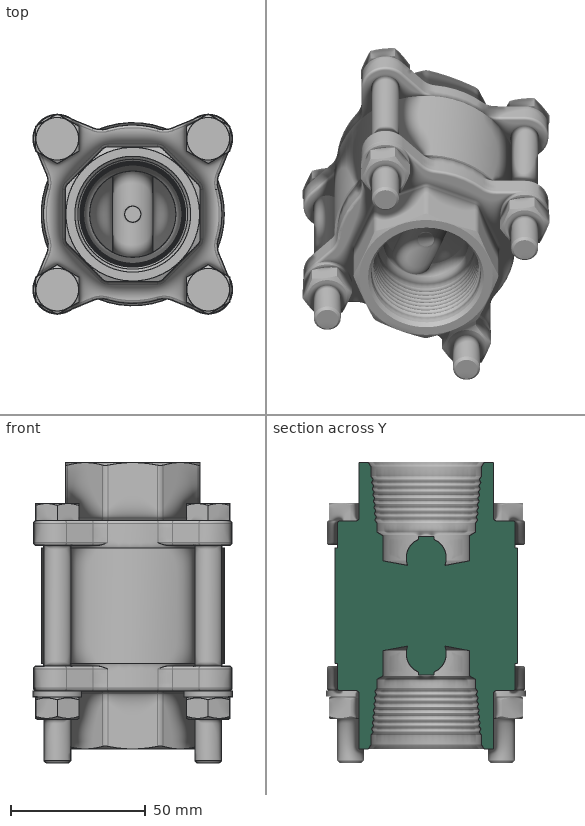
import cadquery as cq
import math

body_diameter = 68.0
body_height = 43.0
boss_diameter = 66.2

flange_face_z = 31.6
flange_thickness = 9.2
flange_edge_radius = 1.0
bolt_offset = 28.0
lug_radius = 8.8
lug_blend_radius = 8.0
lug_flank_angle = 22.5
bolt_hole_diameter = 10.8
bolt_positions = [(sx * bolt_offset, sy * bolt_offset) for sx in (-1, 1) for sy in (-1, 1)]

port_end_z = 53.25
port_flats = 50.0
port_sides = 8
port_corner_radius = 2.8
port_chamfer_angle = 30.0
port_face_diameter = 49.6
port_base_fillet = 1.0
mouth_diameter = 43.0
mouth_depth = 1.7
thread_start_diameter = 40.8
thread_end_diameter = 36.5
thread_pitch = 2.309
thread_turns = 8
thread_height = 0.75
thread_lead_in = 2.4
seat_diameter = 32.0
seat_cone_height = 1.3
relief_height = 3.3

floor_rim_depth = 36.5
floor_dish_depth = 3.0
guide_bar_diameter = 15.0
guide_axis_depth = 35.5
stem_diameter = 6.0
stem_projection = 0.5

bolt_diameter = 10.0
bolt_length = 90.0
bolt_tip_chamfer = 0.9
hex_flats = 16.0
hex_chamfer_angle = 30.0
head_height = 6.4
head_face_diameter = 15.8
washer_diameter = 18.1
washer_thickness = 2.2
washer_split_width = 0.7
washer_split_angle = 30.0
washer_split_y = -27.2
nut_height = 8.4
nut_face_diameter = 14.63


def polygon_corner_diameter(flats, sides):
    return flats / math.cos(math.pi / sides)


def chamfered_envelope(z_low, z_high, face_diameter, outer_diameter, angle, low_end, high_end):
    """Turned blank whose chosen ends are coned down to face_diameter."""
    face_radius = face_diameter / 2
    outer_radius = outer_diameter / 2
    drop = (outer_radius - face_radius) * math.tan(math.radians(angle))
    points = [(0, z_low)]
    if low_end:
        points += [(face_radius, z_low), (outer_radius, z_low + drop)]
    else:
        points += [(outer_radius, z_low)]
    if high_end:
        points += [(outer_radius, z_high - drop), (face_radius, z_high)]
    else:
        points += [(outer_radius, z_high)]
    points += [(0, z_high)]
    return cq.Workplane("XZ").polyline(points).close().revolve(360, (0, 0), (0, 1))


def cylinder(diameter, z_low, height):
    return cq.Workplane("XY", origin=(0, 0, z_low)).circle(diameter / 2).extrude(height)


def rotate_point(point, angle):
    c = math.cos(math.radians(angle))
    s = math.sin(math.radians(angle))
    return (point[0] * c - point[1] * s, point[0] * s + point[1] * c)


def flange_outline():
    """Round flange with four lugs, blended by straight flanks and hollow arcs."""
    boss_radius = boss_diameter / 2
    flank = math.radians(lug_flank_angle)
    normal = (math.sin(flank), -math.cos(flank))
    along = (math.cos(flank), math.sin(flank))
    lug = (-bolt_offset, -bolt_offset)

    across = lug[0] * normal[0] + lug[1] * normal[1] + lug_radius + lug_blend_radius
    reach = boss_radius + lug_blend_radius
    back = -math.sqrt(reach**2 - across**2)
    hollow = (across * normal[0] + back * along[0], across * normal[1] + back * along[1])
    hollow_direction = math.atan2(-hollow[1], -hollow[0])
    flank_direction = math.atan2(-normal[1], -normal[0])
    middle_direction = (hollow_direction + flank_direction) / 2

    flank_start = (lug[0] + lug_radius * normal[0], lug[1] + lug_radius * normal[1])
    flank_end = (hollow[0] - lug_blend_radius * normal[0], hollow[1] - lug_blend_radius * normal[1])
    hollow_middle = (
        hollow[0] + lug_blend_radius * math.cos(middle_direction),
        hollow[1] + lug_blend_radius * math.sin(middle_direction),
    )
    rim_start = (hollow[0] * boss_radius / reach, hollow[1] * boss_radius / reach)
    lug_tip_distance = bolt_offset + lug_radius * math.sqrt(0.5)
    lug_tip = (lug_tip_distance, -lug_tip_distance)

    def mirrored(point):
        return (-point[0], point[1])

    outline = cq.Workplane("XY").moveTo(*flank_start)
    for angle in (0, 90, 180, 270):
        outline = (
            outline.lineTo(*rotate_point(flank_end, angle))
            .threePointArc(rotate_point(hollow_middle, angle), rotate_point(rim_start, angle))
            .threePointArc(
                rotate_point((0, -boss_radius), angle), rotate_point(mirrored(rim_start), angle)
            )
            .threePointArc(
                rotate_point(mirrored(hollow_middle), angle),
                rotate_point(mirrored(flank_end), angle),
            )
            .lineTo(*rotate_point(mirrored(flank_start), angle))
            .threePointArc(
                rotate_point(lug_tip, angle), rotate_point(flank_start, angle + 90)
            )
        )
    return outline.close()


def make_flange():
    """Round flange and boss with the four lugs set against it, all edges rounded."""
    boss = cylinder(boss_diameter, 0, flange_face_z)
    boss = boss.faces(">Z").edges().fillet(flange_edge_radius)
    plate = flange_outline().extrude(flange_thickness)
    plate = plate.faces(">Z or <Z").edges().fillet(flange_edge_radius)
    lugs = plate.translate((0, 0, flange_face_z - flange_thickness)).cut(boss)
    holes = cq.Workplane("XY").pushPoints(bolt_positions).circle(bolt_hole_diameter / 2)
    return boss.union(lugs).cut(holes.extrude(flange_face_z))


def make_port():
    corner_diameter = polygon_corner_diameter(port_flats, port_sides)
    octagon = (
        cq.Workplane("XY")
        .polygon(port_sides, corner_diameter)
        .extrude(port_end_z)
        .edges("|Z")
        .fillet(port_corner_radius)
        .rotate((0, 0, 0), (0, 0, 1), 180 / port_sides)
    )
    envelope = chamfered_envelope(
        0, port_end_z, port_face_diameter, corner_diameter, port_chamfer_angle, False, True
    )
    return octagon.intersect(envelope)


def port_bore():
    """Mouth cone, tapered ridged thread, plain relief, seat cone and plain bore with a dished floor."""
    start_radius = thread_start_diameter / 2
    end_radius = thread_end_diameter / 2
    seat_radius = seat_diameter / 2
    thread_z = port_end_z - mouth_depth - thread_lead_in
    relief_z = thread_z - thread_turns * thread_pitch - relief_height
    floor_z = port_end_z - floor_rim_depth
    taper_step = (start_radius - thread_height - end_radius) / (thread_turns - 1)

    points = [(0, port_end_z), (mouth_diameter / 2, port_end_z), (start_radius, port_end_z - mouth_depth)]
    for turn in range(thread_turns):
        root_radius = start_radius - turn * taper_step
        turn_z = thread_z - turn * thread_pitch
        points.append((root_radius, turn_z - thread_pitch / 2))
        points.append((root_radius - thread_height, turn_z - thread_pitch))
    points.append((end_radius, relief_z))
    points.append((seat_radius, relief_z - seat_cone_height))
    points.append((seat_radius, floor_z))
    points.append((0, floor_z - floor_dish_depth))
    bore = cq.Workplane("XZ").polyline(points).close().revolve(360, (0, 0), (0, 1))
    return bore.rotate((0, 0, 0), (0, 0, 1), 90)


def make_guide():
    """Cross bar along Y with the end of the stem standing on its crown."""
    axis_z = port_end_z - guide_axis_depth
    bar = (
        cq.Workplane("XZ", origin=(0, seat_diameter / 2, axis_z))
        .circle(guide_bar_diameter / 2)
        .extrude(seat_diameter)
    )
    stem = cylinder(stem_diameter, axis_z, guide_bar_diameter / 2 + stem_projection)
    inside = cylinder(seat_diameter, 0, port_end_z)
    return bar.union(stem).intersect(inside)


def make_end():
    """Upper flange and port, with a fillet around the foot of the octagon."""
    reach = polygon_corner_diameter(port_flats, port_sides) / 2
    foot = cq.selectors.BoxSelector(
        (-reach, -reach, flange_face_z - port_base_fillet),
        (reach, reach, flange_face_z + port_base_fillet),
        boundingbox=True,
    )
    return make_flange().union(make_port()).edges(foot).fillet(port_base_fillet)


def make_hex(z_low, height, face_diameter, low_end, high_end):
    corner_diameter = polygon_corner_diameter(hex_flats, 6)
    prism = (
        cq.Workplane("XY")
        .workplane(offset=z_low)
        .polygon(6, corner_diameter)
        .extrude(height)
        .rotate((0, 0, 0), (0, 0, 1), 90)
    )
    envelope = chamfered_envelope(
        z_low, z_low + height, face_diameter, corner_diameter, hex_chamfer_angle, low_end, high_end
    )
    return prism.intersect(envelope)


def make_fastener():
    """Hexagon bolt on the Z axis with its spring washer and nut."""
    shank = cylinder(bolt_diameter, flange_face_z - bolt_length, bolt_length)
    shank = shank.faces("<Z").chamfer(bolt_tip_chamfer)
    washer_z = -flange_face_z - washer_thickness
    washer = cylinder(washer_diameter, washer_z, washer_thickness)
    head = make_hex(flange_face_z, head_height, head_face_diameter, False, True)
    nut = make_hex(washer_z - nut_height, nut_height, nut_face_diameter, True, True)
    return shank.union(head).union(washer).union(nut)


def washer_split():
    """Slanted gap from the shank out through the -X side of the spring washer at -X, -Y."""
    outer_reach = washer_diameter / 2
    wall = outer_reach - bolt_diameter / 2
    slope = math.tan(math.radians(washer_split_angle)) * washer_thickness / 2
    half_gap = washer_split_width / 2
    half_height = washer_thickness / 2
    section = [
        (slope - half_gap, half_height),
        (slope + half_gap, half_height),
        (-slope + half_gap, -half_height),
        (-slope - half_gap, -half_height),
    ]
    origin = (-bolt_offset - outer_reach, washer_split_y, -flange_face_z - half_height)
    return cq.Workplane("YZ", origin=origin).polyline(section).close().extrude(wall)


body = cylinder(body_diameter, -body_height / 2, body_height)
end = make_end()
bore = port_bore()
result = body.union(end).union(end.mirror("XY"))
result = result.cut(bore).cut(bore.mirror("XY"))
guide = make_guide()
result = result.union(guide).union(guide.mirror("XY"))
for position_x, position_y in bolt_positions:
    result = result.union(make_fastener().translate((position_x, position_y, 0)))
result = result.cut(washer_split())